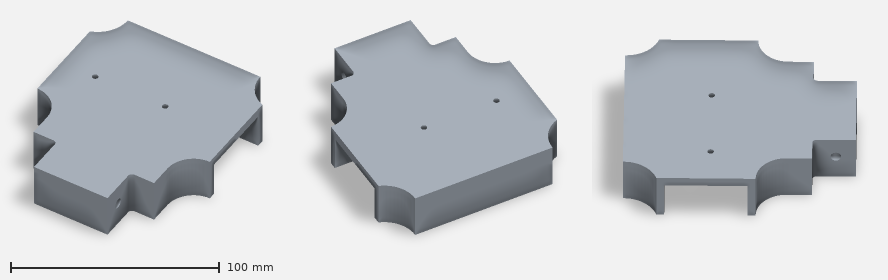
import cadquery as cq

width = 97.4
length = 111.4
height = 23.8
plate_thickness = 4.8
half_width = width / 2
half_length = length / 2

back_width = 75.0
back_scallop_length = 16.1
back_scallop_radius = 16.7
waist_width = 68.0
tongue_width = 41.5
tongue_length = 20.8
front_scallop_start = 47.7
front_scallop_radius = (width - waist_width) / 2
root_fillet = 2.1

side_window_length = 39.9
side_window_back_gap = 19.9
wall_thickness = 10.5

plate_hole_diameter = 3.1
plate_hole_spacing = 39.5
plate_hole_center_x = -9.9
plate_hole_back_distance = 41.9
tongue_hole_diameter = 5.1
tongue_hole_front_distance = 9.6
tongue_hole_height = 12.9


def block(x_min, x_max, y_min, y_max, z_max):
    """Box standing on the bottom plane."""
    size_x = x_max - x_min
    size_y = y_max - y_min
    return (
        cq.Workplane("XY")
        .box(size_x, size_y, z_max, centered=False)
        .translate((x_min, y_min, 0))
    )


def make_body():
    """Extruded outline: broad plate, narrower waist and front tongue."""
    shoulder_y = -half_length + tongue_length
    wide_front_y = -half_length + front_scallop_start
    scallop_end_y = wide_front_y - front_scallop_radius
    scallop_side_y = half_length - back_scallop_length
    half_tongue = tongue_width / 2
    half_waist = waist_width / 2
    half_back = back_width / 2
    body = (
        cq.Workplane("XY")
        .moveTo(-half_tongue, -half_length)
        .lineTo(half_tongue, -half_length)
        .lineTo(half_tongue, shoulder_y)
        .lineTo(half_waist, shoulder_y)
        .lineTo(half_waist, scallop_end_y)
        .radiusArc((half_width, wide_front_y), front_scallop_radius)
        .lineTo(half_width, scallop_side_y)
        .radiusArc((half_back, half_length), back_scallop_radius)
        .lineTo(-half_back, half_length)
        .radiusArc((-half_width, scallop_side_y), back_scallop_radius)
        .lineTo(-half_width, wide_front_y)
        .radiusArc((-half_waist, scallop_end_y), front_scallop_radius)
        .lineTo(-half_waist, shoulder_y)
        .lineTo(-half_tongue, shoulder_y)
        .close()
        .extrude(height)
    )
    roots = cq.selectors.BoxSelector(
        (-half_tongue - 1.1, shoulder_y - 1.1, -1.1),
        (half_tongue + 1.1, shoulder_y + 1.1, height + 1.1),
    )
    return body.edges("|Z").edges(roots).fillet(root_fillet)


def cut_openings(body):
    """Side-to-side passage, widened into a pocket that stops short of the back wall."""
    window_back_y = half_length - side_window_back_gap
    window_front_y = window_back_y - side_window_length
    opening_height = height - plate_thickness
    passage = block(-half_width, half_width, window_front_y, window_back_y, opening_height)
    inner_half_width = half_width - wall_thickness
    pocket_back_y = half_length - wall_thickness
    pocket = block(-inner_half_width, inner_half_width, window_front_y, pocket_back_y, opening_height)
    return body.cut(passage).cut(pocket)


def cut_holes(body):
    """Two holes through the plate and one across the tongue."""
    plate_hole_y = half_length - plate_hole_back_distance
    for side in (-1, 1):
        hole_x = plate_hole_center_x + side * plate_hole_spacing / 2
        plate_hole = (
            cq.Workplane("XY")
            .center(hole_x, plate_hole_y)
            .circle(plate_hole_diameter / 2)
            .extrude(height)
        )
        body = body.cut(plate_hole)
    tongue_hole = (
        cq.Workplane("YZ")
        .center(-half_length + tongue_hole_front_distance, tongue_hole_height)
        .circle(tongue_hole_diameter / 2)
        .extrude(half_width, both=True)
    )
    return body.cut(tongue_hole)


result = cut_holes(cut_openings(make_body()))